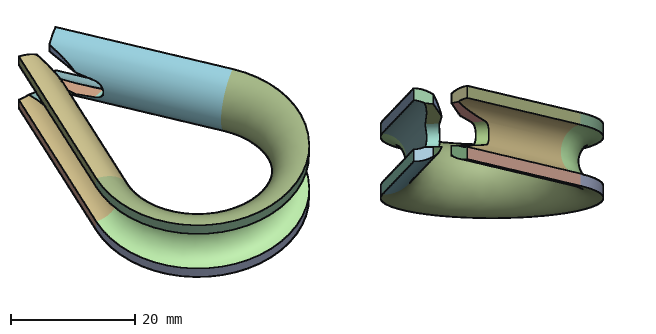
import cadquery as cq
import math

height = 12.0
bend_radius = 17.95
rim_width = 2.0
overall_length = 52.65
leg_angle = 23.6
tip_gap = 3.0
notch_depth = 11.65
notch_end_radius = 1.95
notch_taper = 10.2

back_radius = height / 2
groove_radius = back_radius - rim_width
angle = math.radians(leg_angle)
bend_sweep = 180 + 2 * leg_angle
tip_x = bend_radius - overall_length
leg_length = (-tip_x - bend_radius * math.sin(angle)) / math.cos(angle)


def trough_section(workplane, rim_position):
    """Half-ring section, open toward the outside of the loop."""
    return (
        workplane.moveTo(rim_position, -back_radius)
        .threePointArc((rim_position - back_radius, 0), (rim_position, back_radius))
        .lineTo(rim_position, groove_radius)
        .threePointArc((rim_position - groove_radius, 0), (rim_position, -groove_radius))
        .close()
    )


def bend():
    """Round end, centred on the Z axis and symmetric about the XZ plane."""
    section = trough_section(cq.Workplane("XZ"), bend_radius)
    ring = section.revolve(bend_sweep, (0, 0, 0), (0, 1, 0))
    return ring.rotate((0, 0, 0), (0, 0, 1), -bend_sweep / 2)


def leg():
    """Straight leg on the +Y side, tangent to the bend."""
    radial = (-math.sin(angle), math.cos(angle), 0)
    along = (-math.cos(angle), -math.sin(angle), 0)
    joint_plane = cq.Plane(origin=(0, 0, 0), xDir=radial, normal=along)
    return trough_section(cq.Workplane(joint_plane), bend_radius).extrude(leg_length)


def notch():
    """Tapered notch through both legs along Y, closed by a tangent round end."""
    taper = math.radians(notch_taper)
    end_x = tip_x + notch_depth
    centre_x = end_x - notch_end_radius
    tangent_x = centre_x + notch_end_radius * math.sin(taper)
    tangent_z = notch_end_radius * math.cos(taper)
    mouth_z = tangent_z + (tangent_x - tip_x) * math.tan(taper)
    return (
        cq.Workplane("XZ")
        .moveTo(tip_x, -mouth_z)
        .lineTo(tangent_x, -tangent_z)
        .threePointArc((end_x, 0), (tangent_x, tangent_z))
        .lineTo(tip_x, mouth_z)
        .close()
        .extrude(bend_radius, both=True)
    )


def gap():
    """Flat-sided clearance between the tips, ending in the open loop."""
    slot = cq.Workplane("XY").box(-tip_x, tip_gap, height, centered=(False, True, True))
    return slot.translate((tip_x, 0, 0))


upper_leg = leg()
lower_leg = upper_leg.mirror("XZ")
result = bend().union(upper_leg).union(lower_leg).cut(notch()).cut(gap())